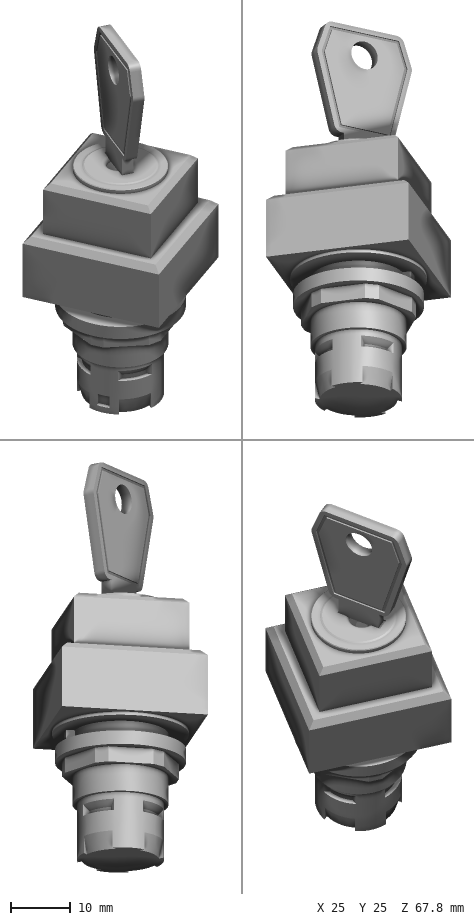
import cadquery as cq
import math

collar_diameter = 14.65
barrel_diameter = 16.15
barrel_bottom = 9.7
nut_bottom = 14.4
nut_flats = 18.05
nut_corner_flats = 19.5
washer_bottom = 17.0
washer_diameter = 22.0
washer_top = 19.4
gasket_bottom = 22.0
gasket_diameter = 23.0
housing_bottom = 22.5
housing_width = 25.0
housing_top = 34.05
housing_chamfer = 1.1
cap_width = 19.75
cap_top = 43.7
cap_chamfer = 0.95
ring_diameter = 16.0
ring_top = 44.5
ring_chamfer = 0.15
face_diameter = 12.9
face_top = 44.65
face_slope = 0.35

tab_width = 2.0
tab_reach = 9.5
tab_bottom = 19.75

pocket_floor_diameter = 13.0
slot_bottom = 6.6
slot_top = 8.55
slot_inner_height = 0.8
slot_inner_width = 4.35
slot_outer_width = 6.2
notch_width = 5.8
notch_height = 3.0
window_width = 2.4
window_bottom = 1.15
window_height = 2.25
cut_margin = 0.7

key_turn = -45
key_offset = -0.6
key_thickness = 2.05
head_bottom = 47.9
head_waist = 62.15
head_top = 67.85
head_bottom_half = 5.5
head_waist_half = 9.1
head_top_half = 7.2
head_corner_radius = 1.5
shank_width = 7.5
shank_shift = 0.15
key_hole_diameter = 5.0
key_hole_height = 62.95
groove_inset = 0.9
groove_width = 0.55
groove_depth = 0.3
keyway_width = 8.1
keyway_thickness = 2.2
keyway_depth = 0.3
dish_diameter = 5.85
dish_rim_radius = 0.8
dish_floor_diameter = 2.0
dish_depth = 2.05

DIAGONALS = (45, 135, 225, 315)
HEX_HALF_TURN = 30
HEX_RATIO = math.cos(math.radians(HEX_HALF_TURN))
collar_radius = collar_diameter / 2
pocket_floor_radius = pocket_floor_diameter / 2


def disc(diameter, bottom, top):
    return cq.Workplane("XY").workplane(offset=bottom).circle(diameter / 2).extrude(top - bottom)


def square_block(width, bottom, top, chamfer):
    block = cq.Workplane("XY").workplane(offset=bottom).rect(width, width).extrude(top - bottom)
    return block.faces(">Z").chamfer(chamfer)


def hex_nut():
    """Hexagon with flats on +X and -X and its six corners cut to flats."""
    height = washer_bottom - nut_bottom
    base = cq.Workplane("XY").workplane(offset=nut_bottom)
    flats = base.polygon(6, nut_flats / HEX_RATIO).extrude(height)
    corners = base.polygon(6, nut_corner_flats / HEX_RATIO).extrude(height)
    return flats.rotate((0, 0, 0), (0, 0, 1), HEX_HALF_TURN).intersect(corners)


def collar_slot():
    """Slot on +X that flares outwards, with a flat floor and a conical roof."""
    reach = collar_radius + cut_margin
    roof_slope = (slot_top - slot_bottom - slot_inner_height) / (collar_radius - pocket_floor_radius)
    roof_end = slot_top + roof_slope * (reach - collar_radius)
    ring = (
        cq.Workplane("XZ")
        .moveTo(pocket_floor_radius, slot_bottom)
        .lineTo(reach, slot_bottom)
        .lineTo(reach, roof_end)
        .lineTo(pocket_floor_radius, slot_bottom + slot_inner_height)
        .close()
        .revolve(360, (0, 0, 0), (0, 1, 0))
    )
    inner_half = slot_inner_width / 2
    outer_half = slot_outer_width / 2
    inner_x = math.sqrt(pocket_floor_radius**2 - inner_half**2)
    outer_x = math.sqrt(collar_radius**2 - outer_half**2)
    flare = (outer_half - inner_half) / (outer_x - inner_x)
    reach_half = inner_half + flare * (reach - inner_x)
    plan = [(inner_x, -inner_half), (reach, -reach_half), (reach, reach_half), (inner_x, inner_half)]
    wedge = cq.Workplane("XY").workplane(offset=slot_bottom).polyline(plan).close()
    return ring.intersect(wedge.extrude(roof_end - slot_bottom))


def collar_notch():
    """Notch on +X at the bottom rim, deepening down along a cone."""
    reach = collar_radius + cut_margin
    ring = (
        cq.Workplane("XZ")
        .moveTo(pocket_floor_radius, 0)
        .lineTo(reach, 0)
        .lineTo(reach, notch_height)
        .lineTo(collar_radius, notch_height)
        .close()
        .revolve(360, (0, 0, 0), (0, 1, 0))
    )
    block = cq.Workplane("XY").box(reach, notch_width, notch_height, centered=(False, True, False))
    return ring.intersect(block)


def collar_window():
    """Small square recess on -Y."""
    depth = collar_radius - pocket_floor_radius
    return (
        cq.Workplane("XY")
        .box(window_width, depth, window_height, centered=(True, False, False))
        .translate((0, -collar_radius, window_bottom))
    )


def anti_rotation_tab():
    height = gasket_bottom - tab_bottom
    tab = cq.Workplane("XY").box(tab_width, tab_reach, height, centered=(True, False, False))
    return tab.translate((0, 0, tab_bottom))


def lock_face():
    """Raised centre face with a sloped rim."""
    height = face_top - ring_top
    slope_angle = math.degrees(math.atan(face_slope / height))
    base = cq.Workplane("XY").workplane(offset=ring_top)
    return base.circle(face_diameter / 2).extrude(height, taper=slope_angle)


def place_key(shape):
    """Move a shape from the key's own axes (width on X) to its place in the lock."""
    return shape.translate((key_offset, 0, 0)).rotate((0, 0, 0), (0, 0, 1), key_turn)


def head_outline(plane_offset, inset):
    """Six-sided outline of the key head, moved inwards by the inset."""
    points = [
        (-head_bottom_half, head_bottom),
        (head_bottom_half, head_bottom),
        (head_waist_half, head_waist),
        (head_top_half, head_top),
        (-head_top_half, head_top),
        (-head_waist_half, head_waist),
    ]
    outline = cq.Workplane("XZ", origin=(0, plane_offset, 0)).polyline(points).close()
    return outline.offset2D(-inset) if inset else outline


def key():
    """Key head with a groove around both faces, its hole and the shank."""
    half = key_thickness / 2
    head = head_outline(half, 0).extrude(key_thickness).edges("|Y").fillet(head_corner_radius)
    for start in (-half + groove_depth, half):
        outer = head_outline(start, groove_inset).extrude(groove_depth)
        inner = head_outline(start, groove_inset + groove_width).extrude(groove_depth)
        head = head.cut(outer.cut(inner))
    hole = (
        cq.Workplane("XZ", origin=(0, half, key_hole_height))
        .circle(key_hole_diameter / 2)
        .extrude(key_thickness)
    )
    shank_bottom = face_top - keyway_depth
    shank = (
        cq.Workplane("XY")
        .box(shank_width, key_thickness, head_bottom - shank_bottom, centered=(True, True, False))
        .translate((shank_shift, 0, shank_bottom))
    )
    return place_key(head.cut(hole).union(shank))


def keyway():
    """Shallow slot around the shank and the dish at its middle, a cone with a rounded rim."""
    slot = (
        cq.Workplane("XY")
        .box(keyway_width, keyway_thickness, keyway_depth, centered=(True, True, False))
        .translate((0, 0, face_top - keyway_depth))
    )
    rim_start = dish_diameter / 2
    rim_mid = dish_rim_radius * math.sin(math.pi / 4)
    dish = (
        cq.Workplane("XZ")
        .moveTo(0, face_top)
        .lineTo(rim_start, face_top)
        .threePointArc(
            (rim_start - rim_mid, face_top - dish_rim_radius + rim_mid),
            (rim_start - dish_rim_radius, face_top - dish_rim_radius),
        )
        .lineTo(dish_floor_diameter / 2, face_top - dish_depth)
        .lineTo(0, face_top - dish_depth)
        .close()
        .revolve(360, (0, 0, 0), (0, 1, 0))
    )
    return place_key(slot.union(dish))


collar = disc(collar_diameter, 0, barrel_bottom).cut(collar_window())
pockets = collar_slot().union(collar_notch())
for angle in DIAGONALS:
    collar = collar.cut(pockets.rotate((0, 0, 0), (0, 0, 1), angle))

body = (
    collar.union(disc(barrel_diameter, barrel_bottom, housing_bottom))
    .union(hex_nut())
    .union(disc(washer_diameter, washer_bottom, washer_top))
    .union(anti_rotation_tab())
    .union(disc(gasket_diameter, gasket_bottom, housing_bottom))
    .union(square_block(housing_width, housing_bottom, housing_top, housing_chamfer))
    .union(square_block(cap_width, housing_top, cap_top, cap_chamfer))
    .union(disc(ring_diameter, cap_top, ring_top).faces(">Z").chamfer(ring_chamfer))
    .union(lock_face())
)

result = body.cut(keyway()).union(key())